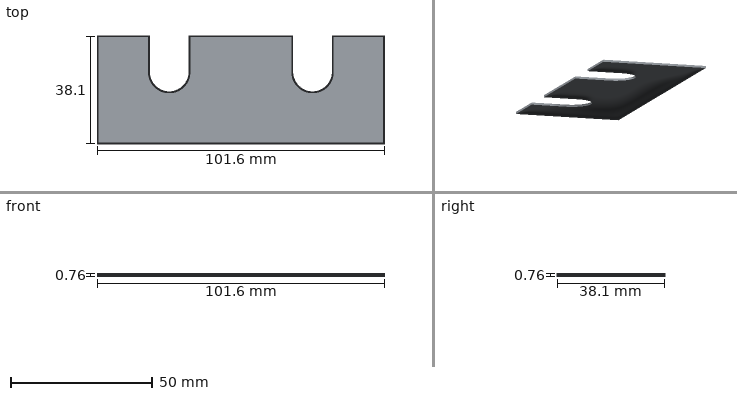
import cadquery as cq

plate_length = 101.6
plate_width = 38.1
plate_thickness = 0.76

slot_width = 14.29
slot_spacing = plate_length / 2
slot_straight_depth = 12.7

slot_radius = slot_width / 2
open_edge_y = plate_width / 2
round_centre_y = open_edge_y - slot_straight_depth


def open_slot(centre_x):
    """Cutter for one slot: straight sides from the open edge, closed by a half circle."""
    left_x = centre_x - slot_radius
    right_x = centre_x + slot_radius
    return (
        cq.Workplane("XY")
        .moveTo(left_x, open_edge_y)
        .lineTo(left_x, round_centre_y)
        .threePointArc((centre_x, round_centre_y - slot_radius), (right_x, round_centre_y))
        .lineTo(right_x, open_edge_y)
        .close()
        .extrude(plate_thickness, both=True)
    )


result = cq.Workplane("XY").box(plate_length, plate_width, plate_thickness)
for slot_x in (-slot_spacing / 2, slot_spacing / 2):
    result = result.cut(open_slot(slot_x))